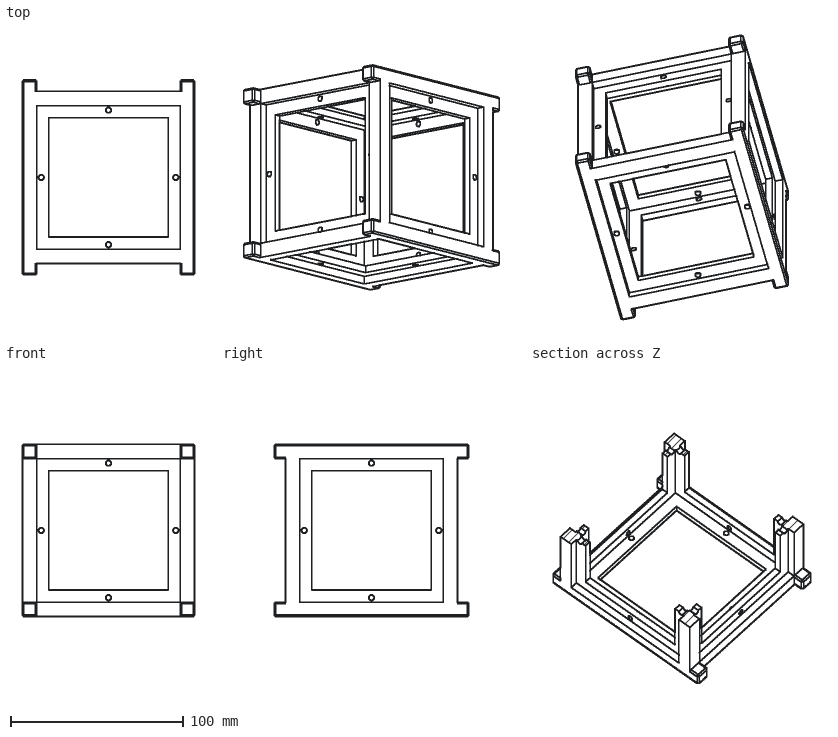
import cadquery as cq

FRAME_SIZE = 100.0
BAR_WIDTH = 8.5
LEDGE_WIDTH = 7.0
LEDGE_THICKNESS = 4.0
BAR_OVERHANG = 6.5
EDGE_CHAMFER = 1.0
HOLE_DIAMETER = 3.0
HOLE_EDGE_DISTANCE = 4.5

CAVITY_SIZE = FRAME_SIZE - 2 * BAR_WIDTH
WINDOW_SIZE = CAVITY_SIZE - 2 * LEDGE_WIDTH
RECESS_DEPTH = BAR_WIDTH - LEDGE_THICKNESS
HOLE_OFFSET = WINDOW_SIZE / 2 + HOLE_EDGE_DISTANCE
LONG_BAR_LENGTH = FRAME_SIZE + 2 * BAR_OVERHANG
BAR_CENTER = (FRAME_SIZE - BAR_WIDTH) / 2

FACE_PLANES = ("XY", "XZ", "YZ")


def through_face_pair(plane_name):
    """Window and four ledge holes, cut straight through two opposite faces."""
    start = cq.Workplane(plane_name).workplane(offset=-FRAME_SIZE / 2)
    window = start.rect(WINDOW_SIZE, WINDOW_SIZE).extrude(FRAME_SIZE)
    hole_centers = [
        (HOLE_OFFSET, 0),
        (-HOLE_OFFSET, 0),
        (0, HOLE_OFFSET),
        (0, -HOLE_OFFSET),
    ]
    holes = start.pushPoints(hole_centers).circle(HOLE_DIAMETER / 2).extrude(FRAME_SIZE)
    return window.union(holes)


def panel_recess(plane_name, side):
    """Square panel seat sunk into one face; side is +1 or -1 along the plane normal."""
    center_offset = side * (FRAME_SIZE - RECESS_DEPTH) / 2
    plane = cq.Workplane(plane_name).workplane(offset=center_offset)
    return plane.box(CAVITY_SIZE, CAVITY_SIZE, RECESS_DEPTH)


def make_frame():
    """Hollow cube with a recessed, ledged and drilled opening in every face."""
    frame = cq.Workplane("XY").box(FRAME_SIZE, FRAME_SIZE, FRAME_SIZE)
    frame = frame.edges("|Y").chamfer(EDGE_CHAMFER)
    frame = frame.cut(cq.Workplane("XY").box(CAVITY_SIZE, CAVITY_SIZE, CAVITY_SIZE))
    for plane_name in FACE_PLANES:
        frame = frame.cut(through_face_pair(plane_name))
        for side in (-1, 1):
            frame = frame.cut(panel_recess(plane_name, side))
    return frame


def make_long_bar(x_side, z_side):
    """Fully chamfered bar along Y; the sides are +1 or -1 and pick the frame edge."""
    bar = cq.Workplane("XY").box(BAR_WIDTH, LONG_BAR_LENGTH, BAR_WIDTH)
    bar = bar.edges().chamfer(EDGE_CHAMFER)
    return bar.translate((x_side * BAR_CENTER, 0, z_side * BAR_CENTER))


def make_part():
    """Frame with the four overhanging bars joined to its edges along Y."""
    part = make_frame()
    for x_side in (-1, 1):
        for z_side in (-1, 1):
            part = part.union(make_long_bar(x_side, z_side))
    return part


result = make_part()